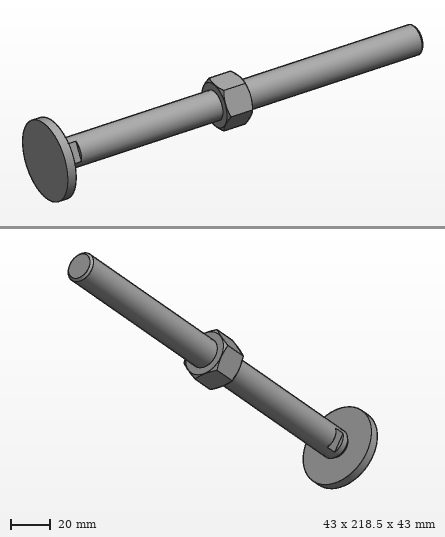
import cadquery as cq
import math


total_length = 218.5
plate_diameter = 43.0
plate_thickness = 5.0

rod_diameter = 16.0
rod_end_diameter = 13.5
free_end_chamfer_length = (rod_diameter - rod_end_diameter) / 2
foot_end_chamfer_length = 1.4
neck_length = 0.5

flats_across = 12.0
flats_width = 6.0
flats_clearance = 5.5
flats_height = plate_thickness + flats_clearance
flats_tilt = 30.0

nut_across_flats = 24.0
nut_sides = 6
nut_across_corners = nut_across_flats / math.cos(math.pi / nut_sides)
nut_thickness = 15.0
nut_base_height = 99.8
nut_face_diameter = 23.7
nut_chamfer_angle = 30.0


def plane_at(height):
    """Sketch plane across the axis at Y = height: local x is +X, local y is -Z, extrusion goes to +Y."""
    return cq.Workplane(cq.Plane(origin=(0, height, 0), xDir=(1, 0, 0), normal=(0, 1, 0)))


def turned(half_profile):
    """Solid of revolution about the Y axis from (radius, height) points."""
    return cq.Workplane("XY").polyline(half_profile).close().revolve(360, (0, 0), (0, 1))


def make_foot_plate():
    return plane_at(0).circle(plate_diameter / 2).extrude(plate_thickness)


def make_rod():
    radius = rod_diameter / 2
    end_radius = rod_end_diameter / 2
    shoulder_height = plate_thickness + neck_length
    rod = turned([
        (0, plate_thickness),
        (end_radius, plate_thickness),
        (end_radius, shoulder_height),
        (radius, shoulder_height + foot_end_chamfer_length),
        (radius, total_length - free_end_chamfer_length),
        (end_radius, total_length),
        (0, total_length),
    ])

    flats_band = plane_at(flats_height).circle(rod_diameter).extrude(flats_width)
    kept_core = plane_at(flats_height).rect(flats_across, 2 * rod_diameter).extrude(flats_width)
    kept_core = kept_core.rotate((0, 0, 0), (0, 1, 0), -flats_tilt)
    return rod.cut(flats_band.cut(kept_core))


def make_nut():
    hexagon = plane_at(nut_base_height).polygon(nut_sides, nut_across_corners).extrude(nut_thickness)

    corner_radius = nut_across_corners / 2
    face_radius = nut_face_diameter / 2
    chamfer_height = (corner_radius - face_radius) * math.tan(math.radians(nut_chamfer_angle))
    nut_top_height = nut_base_height + nut_thickness
    chamfer_envelope = turned([
        (0, nut_base_height),
        (face_radius, nut_base_height),
        (corner_radius, nut_base_height + chamfer_height),
        (corner_radius, nut_top_height - chamfer_height),
        (face_radius, nut_top_height),
        (0, nut_top_height),
    ])
    bore = plane_at(nut_base_height).circle(rod_diameter / 2).extrude(nut_thickness)
    return hexagon.intersect(chamfer_envelope).cut(bore)


foot_plate = make_foot_plate()
rod = make_rod()
nut = make_nut()

result = cq.Compound.makeCompound([foot_plate.val(), rod.val(), nut.val()])